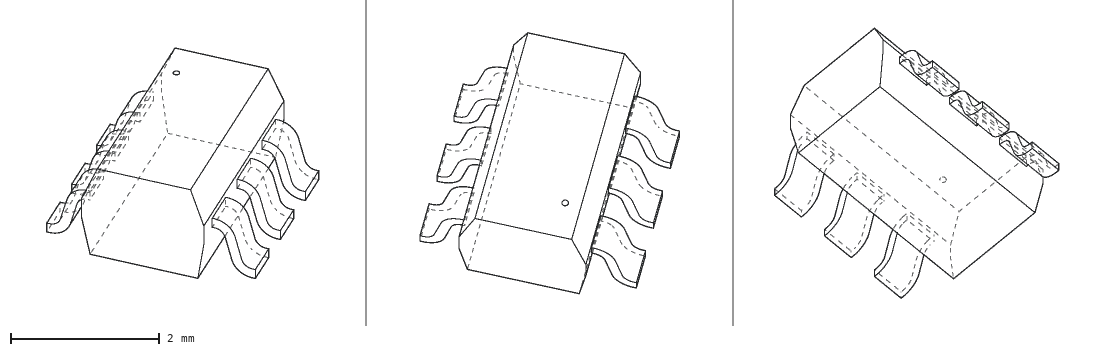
import math

import cadquery as cq

span = 3.0
body_length = 3.05
height = 1.45

body_width = 1.76
top_width = 1.34
bottom_width = 1.55
end_taper = 0.05
band_bottom = 0.625
band_top = 0.935

lead_thickness = 0.15
lead_width = 0.51
lead_pitch = 0.95
leads_per_side = 3
lead_top = 0.845
foot_length = 0.042
inner_radius = 0.16
shank_angle = 15.0
embed = 0.1

mark_diameter = 0.088
mark_depth = 0.002
mark_x = -0.45
mark_y = lead_pitch


def tapered_half(band_z, face_z, face_width):
    """Solid lofted from the band outline to a smaller end face."""
    return (
        cq.Workplane("XY", origin=(0, 0, band_z))
        .rect(body_width, body_length)
        .workplane(offset=face_z - band_z)
        .rect(face_width, body_length - 2 * end_taper)
        .loft(ruled=True, combine=True)
    )


def make_body():
    band = (
        cq.Workplane("XY", origin=(0, 0, band_bottom))
        .rect(body_width, body_length)
        .extrude(band_top - band_bottom)
    )
    upper = tapered_half(band_top, height, top_width)
    lower = tapered_half(band_bottom, 0, bottom_width)
    return band.union(upper).union(lower)


def make_left_lead(y_center):
    """S-shaped strip on the -X side; both bends share the same radii."""
    outer_radius = inner_radius + lead_thickness
    bend = math.radians(90 - shank_angle)

    def on_arc(center, radius, angle):
        """Point on a bend at an angle from vertical; a negative radius goes below the centre."""
        return (center[0] - radius * math.sin(angle), center[1] + radius * math.cos(angle))

    tip_x = -span / 2
    low = (tip_x + foot_length, outer_radius)
    center_rise = lead_top - 2 * outer_radius
    bend_reach = inner_radius + outer_radius
    shank_rise = center_rise + bend_reach * math.cos(bend)
    shank_run = shank_rise * math.tan(math.radians(shank_angle))
    high = (low[0] + bend_reach * math.sin(bend) + shank_run, lead_top - outer_radius)
    root_x = -body_width / 2 + embed

    profile = (
        cq.Workplane("XZ", origin=(0, y_center + lead_width / 2, 0))
        .moveTo(tip_x, 0)
        .lineTo(low[0], 0)
        .threePointArc(on_arc(low, -outer_radius, bend / 2), on_arc(low, -outer_radius, bend))
        .lineTo(*on_arc(high, inner_radius, bend))
        .threePointArc(on_arc(high, inner_radius, bend / 2), on_arc(high, inner_radius, 0))
        .lineTo(root_x, lead_top - lead_thickness)
        .lineTo(root_x, lead_top)
        .lineTo(high[0], lead_top)
        .threePointArc(on_arc(high, outer_radius, bend / 2), on_arc(high, outer_radius, bend))
        .lineTo(*on_arc(low, -inner_radius, bend))
        .threePointArc(on_arc(low, -inner_radius, bend / 2), on_arc(low, -inner_radius, 0))
        .lineTo(tip_x, lead_thickness)
        .close()
    )
    return profile.extrude(lead_width)


def make_pin_mark():
    return (
        cq.Workplane("XY", origin=(mark_x, mark_y, height - mark_depth))
        .circle(mark_diameter / 2)
        .extrude(mark_depth)
    )


result = make_body()
for index in range(leads_per_side):
    y_center = (index - (leads_per_side - 1) / 2) * lead_pitch
    left_lead = make_left_lead(y_center)
    result = result.union(left_lead).union(left_lead.mirror("YZ"))
result = result.cut(make_pin_mark())